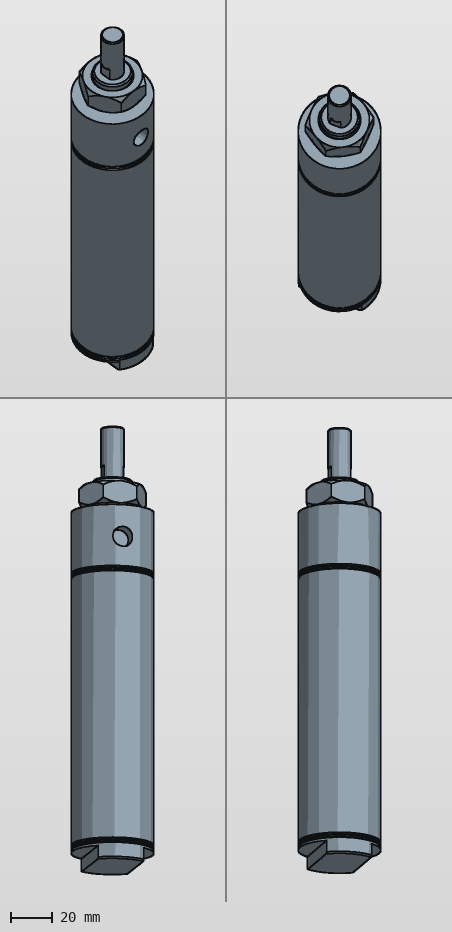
import cadquery as cq

total_length = 214.4
body_diameter = 39.7

body_top = 173.0
neck_top = 188.9
neck_diameter = 19.0
neck_chamfer = 0.9
groove_width = 1.3
groove_depth = groove_width / 2
upper_groove_height = 142.0
lower_groove_height = 9.0
tang_height = 6.5
tang_thickness = 22.5
tang_edge_chamfer = 0.9

port_diameter = 9.6
port_depth = 8.5
port_height = 157.5

nut_bottom = 175.1
nut_height = 10.7
nut_across_flats = 28.7
nut_bore_countersink = 0.6

rod_diameter = 11.1
rod_chamfer = 0.6
rod_flat_top = 195.5
rod_across_flats = 9.6


def groove_cutter(height):
    """Ring with a V-shaped section, centred at the given height."""
    radius = body_diameter / 2
    half_width = groove_width / 2
    return (
        cq.Workplane("XZ")
        .moveTo(radius, height - half_width)
        .lineTo(radius - groove_depth, height)
        .lineTo(radius, height + half_width)
        .close()
        .revolve(360, (0, 0, 0), (0, 1, 0))
    )


def side_cutters(thickness, bottom, top):
    """Pair of blocks that leave a bar of the given thickness across Y."""
    offset = (thickness + body_diameter) / 2
    return (
        cq.Workplane("XY")
        .workplane(offset=bottom)
        .pushPoints([(0, offset), (0, -offset)])
        .rect(body_diameter, body_diameter)
        .extrude(top - bottom)
    )


def make_cylinder_body():
    """Round body with a plain neck on top and a flat mounting tang at the foot."""
    body = cq.Workplane("XY").circle(body_diameter / 2).extrude(body_top)
    body = body.faces("<Z").chamfer(tang_edge_chamfer)
    neck = (
        cq.Workplane("XY")
        .workplane(offset=body_top)
        .circle(neck_diameter / 2)
        .extrude(neck_top - body_top)
        .faces(">Z")
        .chamfer(neck_chamfer)
    )
    body = body.union(neck)
    for pair_height in (lower_groove_height, upper_groove_height):
        for offset in (-groove_width / 2, groove_width / 2):
            body = body.cut(groove_cutter(pair_height + offset))
    body = body.cut(side_cutters(tang_thickness, 0, tang_height))
    port = (
        cq.Workplane("YZ")
        .workplane(offset=body_diameter / 2 - port_depth)
        .center(0, port_height)
        .circle(port_diameter / 2)
        .extrude(port_depth)
    )
    return body.cut(port)


def make_nut():
    """Hexagon nut around the neck, with corners chamfered at 45 degrees."""
    nut = (
        cq.Workplane("XY")
        .polygon(6, nut_across_flats, circumscribed=True)
        .extrude(nut_height)
    )
    corner_radius = nut_across_flats / 3**0.5
    corner_chamfer = corner_radius - nut_across_flats / 2
    turned_blank = (
        cq.Workplane("XY")
        .circle(corner_radius)
        .extrude(nut_height)
        .faces("<Z or >Z")
        .chamfer(corner_chamfer)
    )
    nut = nut.intersect(turned_blank)
    nut = nut.faces(">Z").workplane().hole(neck_diameter)
    bore_rims = nut.faces("<Z or >Z").edges(cq.selectors.RadiusNthSelector(0))
    nut = bore_rims.chamfer(nut_bore_countersink)
    return nut.translate((0, 0, nut_bottom))


def make_rod():
    """Rod standing on the neck, with a pair of wrench flats at its lower end."""
    rod = (
        cq.Workplane("XY")
        .workplane(offset=neck_top)
        .circle(rod_diameter / 2)
        .extrude(total_length - neck_top)
        .faces(">Z")
        .chamfer(rod_chamfer)
    )
    return rod.cut(side_cutters(rod_across_flats, neck_top, rod_flat_top))


cylinder_body = make_cylinder_body()
nut = make_nut()
rod = make_rod()

result = cq.Compound.makeCompound([cylinder_body.val(), nut.val(), rod.val()])